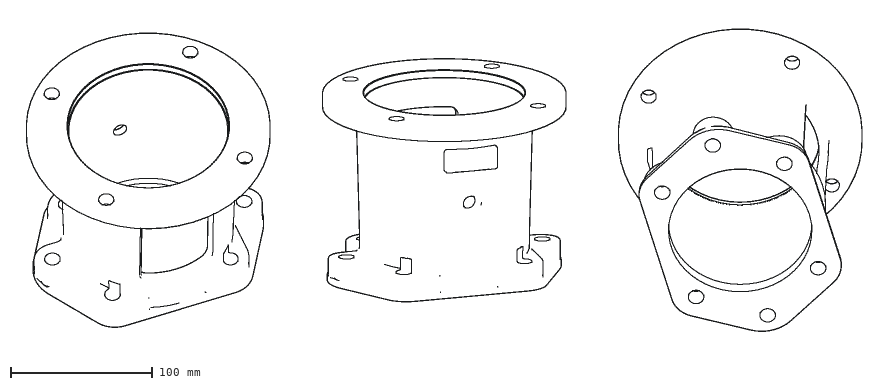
import cadquery as cq
import math

total_height = 133.35

flange_radius = 172.97 / 2
flange_thickness = 11.3
flange_edge_round = 0.8
flange_bolt_circle = 149.2
flange_hole_diameter = 10.7
pilot_radius = 57.15
pilot_depth = 5.6
pilot_chamfer = 0.5

body_top_radius = 62.9
body_taper_deg = 1.5
wall_thickness = 6.7
body_flange_round = 1.5
flange_underside = total_height - flange_thickness
taper_slope = math.tan(math.radians(body_taper_deg))
body_bottom_radius = body_top_radius - flange_underside * taper_slope

lip_radius = 50.8
lip_height = 10.0

roof_slope = math.tan(math.radians(2.0))
plate_ridge_height = 5.5
boss_ridge_height = 18.7
tip_reach = 85.8
tip_bolt_offset = 73.0
corner_bolt_circle = 127.0
foot_hole_diameter = 11.0
foot_hole_depth = 26.6
foot_hole_end_round = 0.8
boss_corner_center = 40.0
boss_corner_radius = 19.5
plate_corner_center = 42.0
plate_corner_radius = 20.0
tip_boss_radius = 14.4
tip_fillet = 4.2
flank_angle_deg = 12.0
plate_edge_angle_deg = 59.0
plate_edge_round = 0.8
boss_edge_round = 1.3
boss_root_round = 1.0
body_boss_round = 1.1

window_width = 52.8
window_bottom = 35.5
window_top = 106.5
window_corner_radius = 5.5
window_edge_round = 1.0

pad_width = 38.9
pad_height = 16.9
pad_depth = 10.0
pad_center_z = 101.0
pad_face_x = -63.2
pad_corner_radius = 2.0
pad_edge_round = 1.2
side_hole_radius = 5.0
side_hole_z = 68.2
side_hole_round = 2.4

roof_reach = 2 * flange_radius
tolerance = 0.05


def body_radius(z):
    """Outer radius of the tapered body at height z."""
    return body_bottom_radius + z * taper_slope


def bore_radius(z):
    """Inner radius of the tapered body at height z."""
    return body_radius(z) - wall_thickness


def on_circle(center_x, center_y, radius, angle_deg):
    angle = math.radians(angle_deg)
    return (center_x + radius * math.cos(angle), center_y + radius * math.sin(angle))


def edge_points(edge):
    """Points near both ends and in the middle of an edge."""
    return [edge.positionAt(fraction) for fraction in (0.1, 0.5, 0.9)]


def make_flange():
    flange = cq.Workplane("XY").workplane(offset=flange_underside).circle(flange_radius)
    return flange.extrude(flange_thickness).edges().fillet(flange_edge_round)


def make_body():
    body = cq.Workplane("XZ").lineTo(body_bottom_radius, 0)
    body = body.lineTo(body_radius(flange_underside), flange_underside)
    body = body.lineTo(0, flange_underside).close()
    return body.revolve(360, (0, 0), (0, 1))


def make_roof(ridge_height):
    """Slab over the +X side whose top slopes down from the ridge at X = 0."""
    roof = cq.Workplane("XZ").lineTo(roof_reach, 0)
    roof = roof.lineTo(roof_reach, ridge_height - roof_reach * roof_slope)
    roof = roof.lineTo(0, ridge_height).close()
    return roof.extrude(roof_reach, both=True)


def make_half(quarter_outline, ridge_height):
    """Mirror a quarter outline into the +X half and trim it under the sloping roof."""
    quarter = quarter_outline.extrude(ridge_height)
    half = quarter.union(quarter.mirror("XZ"))
    return half.intersect(make_roof(ridge_height)).clean()


def off_ridge(edge):
    """True when the edge does not lie in the X = 0 plane."""
    return abs(edge.positionAt(0.5).x) > tolerance


def round_top_edges(half, radius):
    """Round the outer edges of the sloping top face, leaving the ridge at X = 0 sharp."""
    return half.faces(">Z").edges().filter(off_ridge).fillet(radius)


def is_boss_root(edge):
    """True where a boss wall meets the sloping top of the plate."""
    middle = edge.positionAt(0.5)
    gaps = [point.z - plate_ridge_height + point.x * roof_slope for point in edge_points(edge)]
    on_plate = all(abs(gap) < tolerance for gap in gaps)
    return on_plate and off_ridge(edge) and middle.x < flange_radius and abs(middle.y) < tip_reach + tolerance


def plate_outline():
    """Quarter outline of the six-sided plate with rounded corners and rounded tips."""
    angle = math.radians(plate_edge_angle_deg)
    edge_distance = plate_corner_center * (math.cos(angle) + math.sin(angle)) + plate_corner_radius
    tip_radius = (edge_distance - tip_reach * math.sin(angle)) / (1 - math.sin(angle))
    tip_center_y = tip_reach - tip_radius

    tip_mid = on_circle(0, tip_center_y, tip_radius, (90 + plate_edge_angle_deg) / 2)
    tip_end = on_circle(0, tip_center_y, tip_radius, plate_edge_angle_deg)
    corner = (plate_corner_center, plate_corner_center, plate_corner_radius)
    corner_start = on_circle(*corner, plate_edge_angle_deg)
    corner_mid = on_circle(*corner, plate_edge_angle_deg / 2)
    side_x = plate_corner_center + plate_corner_radius

    outline = cq.Workplane("XY").lineTo(0, tip_reach).threePointArc(tip_mid, tip_end)
    outline = outline.lineTo(*corner_start).threePointArc(corner_mid, (side_x, plate_corner_center))
    return outline.lineTo(side_x, 0).close()


def boss_outline():
    """Quarter outline of a tip boss and a corner boss, joined inside the body."""
    tip_center_y = tip_reach - tip_boss_radius
    flat_y = boss_corner_center + boss_corner_radius
    tip_mid = on_circle(0, tip_center_y, tip_boss_radius, 45)
    fillet_mid = on_circle(tip_boss_radius + tip_fillet, flat_y + tip_fillet, tip_fillet, 225)
    corner = (boss_corner_center, boss_corner_center, boss_corner_radius)
    corner_mid = on_circle(*corner, 45)
    flank_start = on_circle(*corner, -flank_angle_deg)
    flank_end_x = flank_start[0] - flank_start[1] * math.tan(math.radians(flank_angle_deg))

    outline = cq.Workplane("XY").lineTo(0, tip_reach)
    outline = outline.threePointArc(tip_mid, (tip_boss_radius, tip_center_y))
    outline = outline.lineTo(tip_boss_radius, flat_y + tip_fillet)
    outline = outline.threePointArc(fillet_mid, (tip_boss_radius + tip_fillet, flat_y))
    outline = outline.lineTo(boss_corner_center, flat_y).threePointArc(corner_mid, flank_start)
    return outline.lineTo(flank_end_x, 0).close()


def make_foot():
    """Plate and bosses, with root fillets that end where the plate edge is rounded."""
    plate = make_half(plate_outline(), plate_ridge_height)
    bosses = round_top_edges(make_half(boss_outline(), boss_ridge_height), boss_edge_round)

    rooted = make_roof(plate_ridge_height).union(bosses)
    rooted = rooted.edges().filter(is_boss_root).fillet(boss_root_round)
    inner_plate = plate.faces("<Z").wires().toPending().offset2D(-plate_edge_round)
    inner_plate = inner_plate.extrude(total_height, combine=False)

    half = round_top_edges(plate, plate_edge_round).union(bosses)
    half = half.union(rooted.intersect(inner_plate))
    return half.union(half.mirror("YZ"))


def make_pad():
    pad = cq.Workplane("YZ").workplane(offset=pad_face_x).center(0, pad_center_z)
    pad = pad.rect(pad_width, pad_height).extrude(pad_depth)
    pad = pad.edges("|X").fillet(pad_corner_radius)
    return pad.faces("<X").edges().fillet(pad_edge_round)


def make_bore():
    """Lip, 45 degree shoulder, tapered bore and chamfered top pilot."""
    shoulder_run = (bore_radius(lip_height) - lip_radius) / (1 - taper_slope)
    shoulder_top = lip_height + shoulder_run
    pilot_floor = total_height - pilot_depth
    bore = cq.Workplane("XZ").lineTo(lip_radius, 0).lineTo(lip_radius, lip_height)
    bore = bore.lineTo(bore_radius(shoulder_top), shoulder_top)
    bore = bore.lineTo(bore_radius(pilot_floor), pilot_floor).lineTo(pilot_radius, pilot_floor)
    bore = bore.lineTo(pilot_radius, total_height - pilot_chamfer)
    bore = bore.lineTo(pilot_radius + pilot_chamfer, total_height)
    bore = bore.lineTo(0, total_height).close()
    return bore.revolve(360, (0, 0), (0, 1))


def make_window():
    window = cq.Workplane("YZ").center(0, (window_bottom + window_top) / 2)
    window = window.rect(window_width, window_top - window_bottom).extrude(flange_radius)
    return window.edges("|X").fillet(window_corner_radius)


def make_side_hole():
    hole = cq.Workplane("YZ").center(0, side_hole_z).circle(side_hole_radius)
    return hole.extrude(-flange_radius)


def square_pattern_points(bolt_circle):
    offset = bolt_circle / 2 * math.sqrt(0.5)
    return [(sx * offset, sy * offset) for sx in (-1, 1) for sy in (-1, 1)]


def make_bolt_holes():
    foot_points = square_pattern_points(corner_bolt_circle)
    foot_points += [(0, tip_bolt_offset), (0, -tip_bolt_offset)]
    foot = cq.Workplane("XY").pushPoints(foot_points).circle(foot_hole_diameter / 2)
    foot = foot.extrude(foot_hole_depth).faces(">Z").edges().fillet(foot_hole_end_round)
    flange = cq.Workplane("XY").workplane(offset=flange_underside)
    flange = flange.pushPoints(square_pattern_points(flange_bolt_circle))
    flange = flange.circle(flange_hole_diameter / 2).extrude(flange_thickness)
    return foot.union(flange)


def is_flange_root(edge):
    """True where the body meets the underside of the flange."""
    middle = edge.Center()
    at_underside = abs(middle.z - flange_underside) < tolerance
    return at_underside and edge.BoundingBox().xmax < body_top_radius + tolerance


def on_body_wall(edge):
    """True when the whole edge lies on the outer taper of the body."""
    gaps = [math.hypot(point.x, point.y) - body_radius(point.z) for point in edge_points(edge)]
    return all(abs(gap) < tolerance for gap in gaps)


def is_boss_top_root(edge):
    """True where the sloping boss tops meet the body."""
    middle = edge.positionAt(0.5)
    top = boss_ridge_height - abs(middle.x) * roof_slope
    return on_body_wall(edge) and abs(middle.z - top) < tolerance


def is_window_rim(edge):
    """True along the outer rim of the +X window."""
    middle = edge.positionAt(0.5)
    in_window = window_bottom - tolerance < middle.z < window_top + tolerance
    return in_window and middle.x > window_width / 2 and on_body_wall(edge)


def is_side_hole_mouth(edge):
    """True at the outer mouth of the -X hole."""
    middle = edge.Center()
    on_rim = middle.x < -bore_radius(side_hole_z) - tolerance
    return on_rim and abs(middle.z - side_hole_z) < side_hole_radius


casting = make_body().union(make_flange())
casting = casting.edges().filter(is_flange_root).fillet(body_flange_round)
casting = casting.union(make_foot())
casting = casting.edges().filter(is_boss_top_root).fillet(body_boss_round)
casting = casting.union(make_pad())
casting = casting.cut(make_bore()).cut(make_window()).cut(make_side_hole())
casting = casting.edges().filter(is_window_rim).fillet(window_edge_round)
casting = casting.edges().filter(is_side_hole_mouth).fillet(side_hole_round)
result = casting.cut(make_bolt_holes())